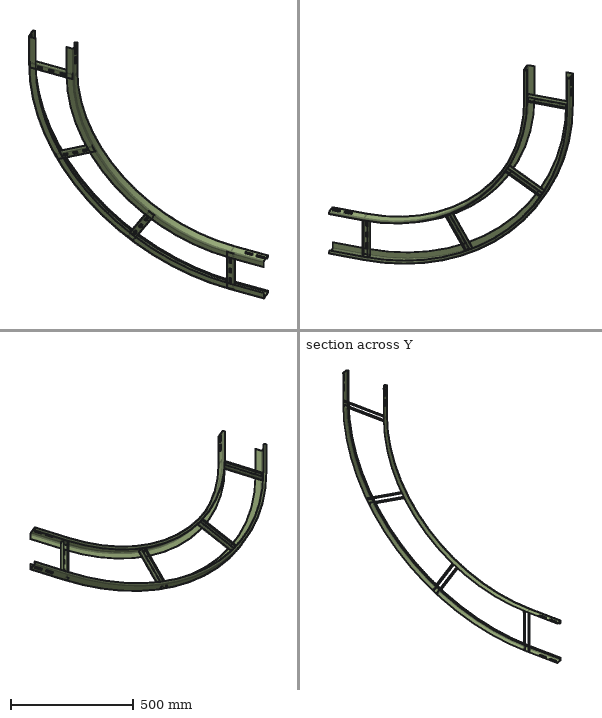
import cadquery as cq

overall = 1050.0
leg_length = 150.0
tray_width = 201.0
outer_radius = overall - leg_length
inner_radius = outer_radius - tray_width
arc_centre = outer_radius
quarter_turn = 90

rail_depth = 45.0
front_flange = 32.0
back_flange = 13.0
lip_depth = 9.0
wall = 1.5
bend = 4.7

rail_slot_length = 30.0
rail_slot_width = 8.0
slot_pitch = 50.0
rail_slot_end_gap = slot_pitch / 2
rail_slots_per_leg = 2

rung_width = 32.0
rung_depth = 18.0
rung_bend = 4.0
rung_opening = 16.0
rung_end_gap = 5.0
rung_length = tray_width - 2 * rung_end_gap
rung_radius = (outer_radius + inner_radius) / 2
rung_slot_length = 20.0
rung_slot_width = 7.0
rung_slots = 3
rung_angles = (0, 30, 60, 90)


def rail_profile(web_radius, inward):
    """Channel section at the start of the arc; `inward` is the X direction its flanges point."""
    web_x = arc_centre - web_radius
    lip_end = rail_depth - lip_depth

    def at(distance, y):
        return (web_x + inward * distance, y)

    def arc_to(path, distance, y):
        return path.tangentArcPoint(at(distance, y), relative=False)

    path = cq.Workplane("XY", origin=(0, 0, arc_centre))

    path = path.moveTo(*at(front_flange, 0)).lineTo(*at(bend, 0))
    path = arc_to(path, 0, bend).lineTo(*at(0, rail_depth - bend))
    path = arc_to(path, bend, rail_depth).lineTo(*at(back_flange - bend, rail_depth))
    path = arc_to(path, back_flange, rail_depth - bend).lineTo(*at(back_flange, lip_end))

    path = path.lineTo(*at(back_flange - wall, lip_end)).lineTo(*at(back_flange - wall, rail_depth - bend))
    path = arc_to(path, back_flange - bend, rail_depth - wall).lineTo(*at(bend, rail_depth - wall))
    path = arc_to(path, wall, rail_depth - bend).lineTo(*at(wall, bend))
    path = arc_to(path, bend, wall).lineTo(*at(front_flange, wall))
    return path.close()


def rail_leg(web_radius, inward):
    """Upright leg with its row of slots through the web."""
    leg = rail_profile(web_radius, inward).extrude(leg_length)
    web_middle = arc_centre - web_radius + inward * wall / 2
    for index in range(rail_slots_per_leg):
        slot_z = overall - rail_slot_end_gap - index * slot_pitch
        slot = cq.Workplane("XY").box(2 * wall, rail_slot_width, rail_slot_length)
        leg = leg.cut(slot.translate((web_middle, rail_depth / 2, slot_z)))
    return leg


def make_rail(web_radius, inward):
    """Upright leg, quarter arc and level leg in one piece."""
    upright_leg = rail_leg(web_radius, inward)
    level_leg = upright_leg.mirror(cq.Vector(1, 0, -1), (0, 0, 0))
    arc = rail_profile(web_radius, inward).revolve(
        quarter_turn, (arc_centre, 0, 0), (arc_centre, -1, 0)
    )
    return upright_leg.union(arc).union(level_leg)


def make_rung(angle):
    """Slotted channel laid radially between the rails."""
    from_front = (True, False, True)
    outside = (
        cq.Workplane("XY")
        .box(rung_length, rung_depth, rung_width, centered=from_front)
        .edges("|X")
        .fillet(rung_bend)
    )
    hollow = (
        cq.Workplane("XY", origin=(0, wall, 0))
        .box(rung_length, rung_depth - 2 * wall, rung_width - 2 * wall, centered=from_front)
        .edges("|X")
        .fillet(rung_bend - wall)
    )
    opening = (
        cq.Workplane("XY", origin=(0, rung_depth / 2, 0))
        .box(rung_length, rung_depth, rung_opening, centered=from_front)
    )
    slots = (
        cq.Workplane("XZ")
        .rarray(slot_pitch, 10, rung_slots, 1)
        .rect(rung_slot_length, rung_slot_width)
        .extrude(-2 * wall)
    )
    rung = outside.cut(hollow).cut(opening).cut(slots)
    rung = rung.translate((arc_centre - rung_radius, wall, arc_centre))
    arc_axis_start = (arc_centre, 0, arc_centre)
    arc_axis_end = (arc_centre, 1, arc_centre)
    return rung.rotate(arc_axis_start, arc_axis_end, -angle)


outer_rail = make_rail(outer_radius, 1)
inner_rail = make_rail(inner_radius, -1)
rungs = [make_rung(angle) for angle in rung_angles]

result = cq.Compound.makeCompound([outer_rail.val(), inner_rail.val(), *[rung.val() for rung in rungs]])